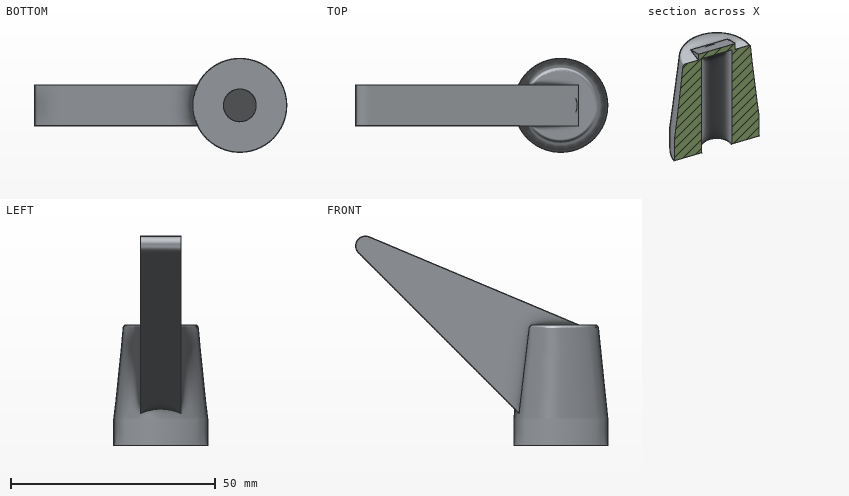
import cadquery as cq
import math

base_diameter = 23.0
base_height = 6.5
hub_height = 29.5
hub_top_radius = 9.1
top_fillet = 0.9
bore_diameter = 8

lever_width = 10.0
overall_length = 61.6
overall_height = 51.2
tip_radius = 2.4
underside_angle = 45
upper_end_x = 4.4

base_radius = base_diameter / 2
tip_x = base_radius - overall_length + tip_radius
tip_z = overall_height - tip_radius


def make_hub():
    base = cq.Workplane("XY").circle(base_radius).extrude(base_height)
    body = (
        cq.Workplane("XZ")
        .moveTo(0, base_height)
        .lineTo(base_radius, base_height)
        .lineTo(hub_top_radius, hub_height)
        .lineTo(0, hub_height)
        .close()
        .revolve(360, (0, 0, 0), (0, 1, 0))
        .faces(">Z")
        .edges()
        .fillet(top_fillet)
    )
    return base.union(body)


def make_bore():
    return cq.Workplane("XY").circle(bore_diameter / 2).extrude(hub_height)


def tip_point(angle):
    """Point on the rounded tip at an angle in radians from +X toward +Z."""
    return tip_x + tip_radius * math.cos(angle), tip_z + tip_radius * math.sin(angle)


def make_lever():
    run = upper_end_x - tip_x
    drop = tip_z - hub_height
    center_to_end = math.hypot(run, drop)
    upper_normal = math.acos(tip_radius / center_to_end) - math.atan2(drop, run)

    lower_normal = math.radians(270 - underside_angle)
    lower_start_x, lower_start_z = tip_point(lower_normal)
    slope = math.tan(math.radians(underside_angle))
    lower_end_x = lower_start_x + (lower_start_z - base_height) / slope

    return (
        cq.Workplane("XZ")
        .moveTo(upper_end_x, hub_height)
        .lineTo(*tip_point(upper_normal))
        .threePointArc(
            tip_point((upper_normal + lower_normal) / 2),
            (lower_start_x, lower_start_z),
        )
        .lineTo(lower_end_x, base_height)
        .lineTo(upper_end_x, base_height)
        .close()
        .extrude(lever_width / 2, both=True)
    )


result = make_hub().union(make_lever()).cut(make_bore())